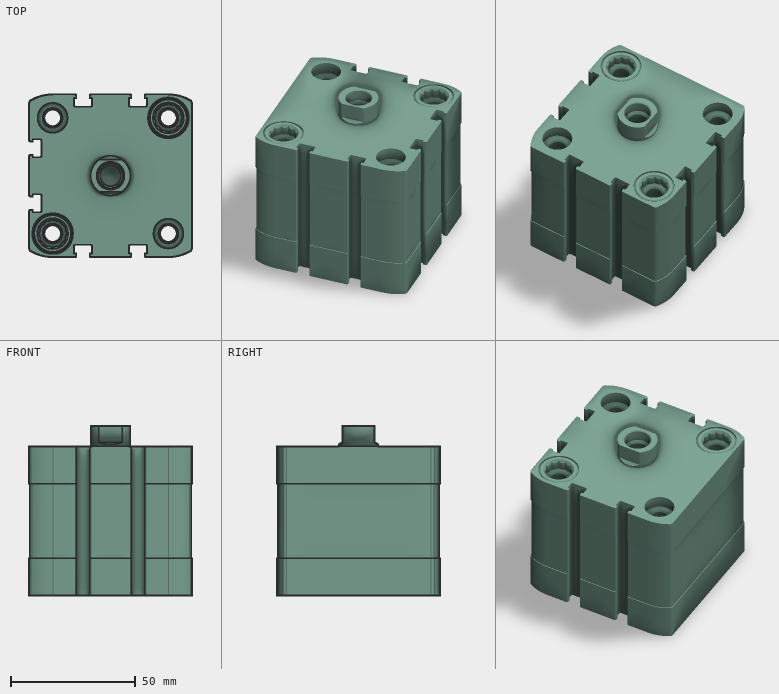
import cadquery as cq
import math

width = 65.5
half_width = width / 2
housing_height = 60.0
total_height = 68.2

cap_height = 15.0
barrel_inset = 0.3
barrel_height = housing_height - 2 * cap_height
corner_arc_radius = 17.5
corner_edge_fillet = 1.5

slot_offset = 11.05
slot_neck_width = 5.4
slot_width = 7.1
slot_depth = 5.0
slot_lip_depth = 1.6
slot_lip_fillet = 0.5
slot_floor_fillet = 0.4

hole_offset = 46.5 / 2
through_diameter = 6.65
thread_rim_diameter = 8.0
thread_lead_depth = (thread_rim_diameter - through_diameter) / 2
counterbore_diameter = 12.0
counterbore_depth = 5.0

collar_bore_diameter = 16.4
collar_diameter = 15.5
collar_top_diameter = 14.7
collar_chamfer = (collar_diameter - collar_top_diameter) / 2
collar_groove_depth = 0.8
socket_across_flats = 10.0
socket_bore_diameter = 10.6
socket_rim_diameter = 12.4
socket_depth = 4.5
socket_lead_angle = 55

rod_diameter = 16.0
rod_radius = rod_diameter / 2
rod_embedded = 30.0
rod_bottom = housing_height - rod_embedded
rod_across_flats = 13.0
flat_length = 6.6
flat_runout_angle = 30
rod_rim_diameter = 11.2
rod_bore_diameter = 10.5
rod_bore_depth = 4.9
rod_lead_diameter = 10.0
rod_thread_diameter = 8.38
rod_thread_depth = 20.0
drill_point_angle = 118


def end_outline(inset):
    """Square-ish section: each corner is a shallow arc that meets the X side in a small fillet."""
    side = half_width - inset
    radius = corner_arc_radius - inset
    run = side - hole_offset
    arc_centre_y = side - radius
    corner_y = arc_centre_y + math.sqrt(radius**2 - run**2)
    mid_angle = (math.pi / 2 + math.atan2(corner_y - arc_centre_y, run)) / 2
    mid_x = hole_offset + radius * math.cos(mid_angle)
    mid_y = arc_centre_y + radius * math.sin(mid_angle)
    return (
        cq.Workplane("XY")
        .moveTo(-hole_offset, side)
        .lineTo(hole_offset, side)
        .threePointArc((mid_x, mid_y), (side, corner_y))
        .lineTo(side, -corner_y)
        .threePointArc((mid_x, -mid_y), (hole_offset, -side))
        .lineTo(-hole_offset, -side)
        .threePointArc((-mid_x, -mid_y), (-side, -corner_y))
        .lineTo(-side, corner_y)
        .threePointArc((-mid_x, mid_y), (-hole_offset, side))
        .close()
    )


def t_slot(side, height):
    """T-slot cutter centred on the X axis, with its mouth rounded where it meets the face at x = side."""
    neck = slot_neck_width / 2
    floor_x = half_width - slot_depth
    lip_x = half_width - slot_lip_depth
    groove = (
        cq.Workplane("XY")
        .box(slot_depth - slot_lip_depth, slot_width, height, centered=(False, True, False))
        .translate((floor_x, 0, 0))
        .edges("|Z and <X")
        .fillet(slot_floor_fillet)
    )
    mouth = neck + slot_lip_fillet
    flare_x = side - slot_lip_fillet
    bulge = slot_lip_fillet * (1 - math.sqrt(0.5))
    opening = (
        cq.Workplane("XY")
        .moveTo(lip_x, -neck)
        .lineTo(flare_x, -neck)
        .threePointArc((side - bulge, -neck - bulge), (side, -mouth))
        .lineTo(side, mouth)
        .threePointArc((side - bulge, neck + bulge), (flare_x, neck))
        .lineTo(lip_x, neck)
        .close()
        .extrude(height)
    )
    return groove.union(opening)


def housing_section(inset, bottom, height):
    """One length of the housing, with two T-slots on each of the +Y, -X and -Y sides."""
    block = end_outline(inset).extrude(height)
    side = half_width - inset
    for x_side in (">X", "<X"):
        block = block.faces(x_side).edges("|Z").fillet(corner_edge_fillet)
    slot = t_slot(side, height)
    for turn in (90, 180, 270):
        for offset in (-slot_offset, slot_offset):
            placed_slot = slot.translate((0, offset, 0)).rotate((0, 0, 0), (0, 0, 1), turn)
            block = block.cut(placed_slot)
    return block.translate((0, 0, bottom))


def cone(bottom_diameter, top_diameter, bottom, height):
    return cq.Workplane(
        cq.Solid.makeCone(bottom_diameter / 2, top_diameter / 2, height, cq.Vector(0, 0, bottom))
    )


def cylinder(diameter, bottom, top):
    return cq.Workplane("XY", origin=(0, 0, bottom)).circle(diameter / 2).extrude(top - bottom)


def mounting_hole(seat):
    """Through hole with a conical lead-in that opens at the seat level."""
    lead = cone(through_diameter, thread_rim_diameter, seat - thread_lead_depth, thread_lead_depth)
    return cylinder(through_diameter, 0, seat).union(lead)


def counterbored_hole():
    seat = housing_height - counterbore_depth
    return mounting_hole(seat).union(cylinder(counterbore_diameter, seat, housing_height))


def collar_groove():
    """Narrow ring gap around the screw collar, widened by the collar's top chamfer."""
    ring = cylinder(collar_bore_diameter, housing_height - collar_groove_depth, housing_height)
    collar = cylinder(
        collar_diameter, housing_height - collar_groove_depth, housing_height - collar_chamfer
    )
    chamfer = cone(
        collar_diameter, collar_top_diameter, housing_height - collar_chamfer, collar_chamfer
    )
    return ring.cut(collar).cut(chamfer)


def socket_hole():
    """Twelve-point socket from two hexagons, with a conical mouth, above a mounting hole."""
    seat = housing_height - socket_depth
    socket = cylinder(socket_bore_diameter, seat, housing_height)
    hexagon = (
        cq.Workplane("XY", origin=(0, 0, seat))
        .polygon(6, socket_across_flats, circumscribed=True)
        .extrude(socket_depth)
    )
    for turn in (0, 30):
        socket = socket.union(hexagon.rotate((0, 0, 0), (0, 0, 1), turn))
    lead_width = (socket_rim_diameter - socket_bore_diameter) / 2
    lead_depth = lead_width * math.tan(math.radians(socket_lead_angle))
    mouth = cone(socket_bore_diameter, socket_rim_diameter, housing_height - lead_depth, lead_depth)
    return mounting_hole(seat).union(socket).union(mouth)


def make_housing():
    body = housing_section(0, 0, cap_height)
    body = body.union(housing_section(barrel_inset, cap_height, barrel_height))
    body = body.union(housing_section(0, cap_height + barrel_height, cap_height))

    for side in (-1, 1):
        body = body.cut(counterbored_hole().translate((side * hole_offset, -side * hole_offset, 0)))
        screw_place = (side * hole_offset, side * hole_offset, 0)
        body = body.cut(collar_groove().translate(screw_place))
        body = body.cut(socket_hole().translate(screw_place))

    return body.cut(cylinder(rod_diameter, rod_bottom, housing_height))


def wrench_flat():
    """Cutter for the flat on the -Y side, ending in a sloped run-out."""
    flat_y = -rod_across_flats / 2
    flat_bottom = total_height - flat_length
    runout = (rod_radius + flat_y) * math.tan(math.radians(flat_runout_angle))
    return (
        cq.Workplane("YZ")
        .polyline([
            (flat_y, total_height),
            (flat_y, flat_bottom),
            (-rod_radius, flat_bottom - runout),
            (-rod_radius, total_height),
        ])
        .close()
        .extrude(rod_radius, both=True)
    )


def rod_thread_hole():
    """Stepped blind hole with a chamfered mouth and a drill-point bottom."""
    rim_chamfer = (rod_rim_diameter - rod_bore_diameter) / 2
    bore_bottom = total_height - rod_bore_depth
    lead = (rod_lead_diameter - rod_thread_diameter) / 2
    thread_bottom = total_height - rod_thread_depth
    point = rod_thread_diameter / 2 / math.tan(math.radians(drill_point_angle / 2))
    return (
        cq.Workplane("XZ")
        .polyline([
            (0, total_height),
            (rod_rim_diameter / 2, total_height),
            (rod_bore_diameter / 2, total_height - rim_chamfer),
            (rod_bore_diameter / 2, bore_bottom),
            (rod_lead_diameter / 2, bore_bottom),
            (rod_thread_diameter / 2, bore_bottom - lead),
            (rod_thread_diameter / 2, thread_bottom),
            (0, thread_bottom - point),
        ])
        .close()
        .revolve(360, (0, 0, 0), (0, 1, 0))
    )


def make_piston_rod():
    rod = cylinder(rod_diameter, rod_bottom, total_height)
    rod = rod.cut(wrench_flat()).cut(wrench_flat().mirror("XZ"))
    return rod.cut(rod_thread_hole())


housing = make_housing()
piston_rod = make_piston_rod()

result = cq.Compound.makeCompound([housing.val(), piston_rod.val()])